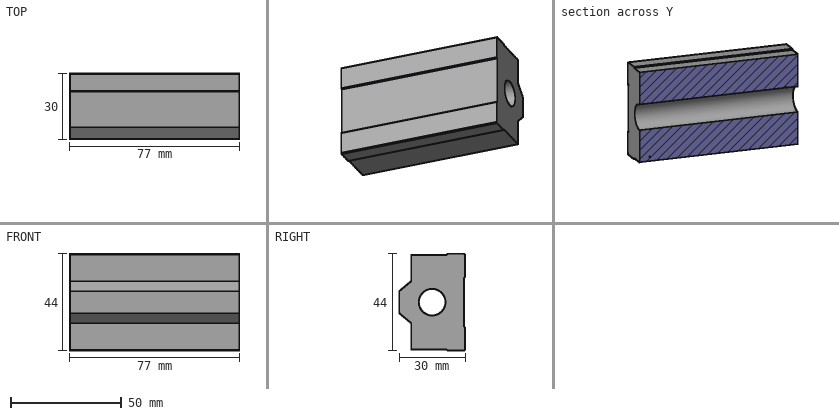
import cadquery as cq

length = 77.0
depth = 30.0
height = 44.0

bore_diameter = 12.0

ridge_depth = 5.5
ridge_crest_width = 10.0
ridge_base_width = 19.2

pad_relief = 0.5
side_pad_width = 8.0
back_pad_width = 10.5

back_y = depth / 2
crest_y = -depth / 2
front_y = crest_y + ridge_depth
top_z = height / 2
body_top_z = top_z - pad_relief
side_pad_end_y = back_y - side_pad_width
back_pad_end_z = top_z - back_pad_width


def make_profile_points():
    """Closed (Y, Z) outline: the upper half, then its mirror image."""
    upper_half = [
        (crest_y, ridge_crest_width / 2),
        (front_y, ridge_base_width / 2),
        (front_y, body_top_z),
        (side_pad_end_y - pad_relief, body_top_z),
        (side_pad_end_y, top_z),
        (back_y - pad_relief, top_z),
        (back_y, top_z - pad_relief),
        (back_y, back_pad_end_z),
        (back_y - pad_relief, back_pad_end_z - pad_relief),
    ]
    lower_half = [(y, -z) for y, z in reversed(upper_half)]
    return upper_half + lower_half


def make_body():
    """Extrude the outline along X, centred on X = 0."""
    return cq.Workplane("YZ").polyline(make_profile_points()).close().extrude(length / 2, both=True)


def make_bore():
    """Cylinder that passes through the whole length."""
    return cq.Workplane("YZ").circle(bore_diameter / 2).extrude(length / 2, both=True)


result = make_body().cut(make_bore())